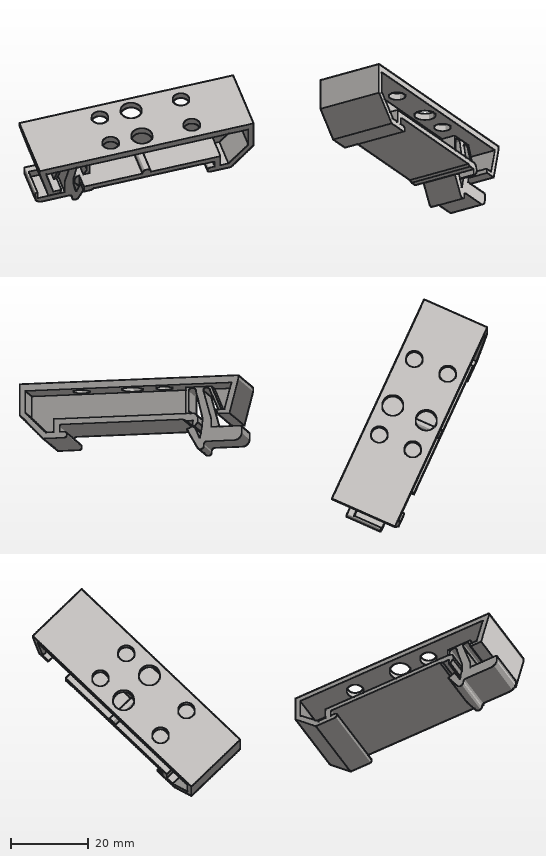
import cadquery as cq

width = 18.0
length = 58.0
half_length = length / 2
plate_thickness = 1.85
plate_bottom = -plate_thickness

end_wall = 1.45
end_corner_z = -8.3
inner_corner_z = -7.6
foot_heel_y = 22.85
pocket_heel_y = 22.15
foot_bottom = -14.6
foot_top = -13.0
foot_tip_radius = (foot_top - foot_bottom) / 2
foot_tip_y = 16.5
notch_y = 18.45
notch_corner_radius = 0.6
shelf_top = -9.55
shelf_bottom = -11.1
shelf_root_y = 20.0

shelf_thick_bottom = -11.5
hook_inner_y = -17.0
hook_outer_y = -18.25
hook_bottom = -13.05
hook_radius = 1.4

slant_top_z = -1.05
slant_bottom = -9.9
slant_floor = -8.8
slant_inner_top_y = -27.2
slant_inner_bottom_y = -25.35
slant_heel_y = -23.15

web_thickness = 2.0
latch_width = 9.6
latch_block_y = -14.2
brace_top_y = -21.0
brace_bottom_y = -23.9
slot_top = -2.2
slot_shoulder_z = -2.85
slot_end_radius = 0.7
post_face_y = -14.9
arm_back_bend = (-18.6, -10.3)
arm_front_bend_z = -10.55
gap_floor_z = -15.25
catch_tip = (-16.35, -12.0)
catch_corner = (-14.4, -12.95)
heel_y = -18.95
neck_radius = 0.8
latch_bottom = -18.3
lever_top = -12.5
lever_bottom = -16.3
lever_top_radius = 0.4
lever_bottom_radius = 2.0
lever_root_y = -20.95

relief_wall = 1.8
relief_tip_wall = 0.7
relief_depth = 2.1

rib_radius = 1.15

hole_x = 4.75
large_hole_diameter = 5.5
small_hole_diameter = 4.35
small_hole_rows = (13.5, -8.45)


def extrude_across(outline, thickness):
    """Extrude a closed YZ outline symmetrically about X = 0."""
    return outline.close().extrude(thickness / 2, both=True)


def box_between(low, high):
    """Axis-aligned box from its lowest to its highest corner."""
    size = [b - a for a, b in zip(low, high)]
    return cq.Workplane("XY").box(*size, centered=False).translate(low)


def make_frame():
    """Full-width strip forming plate, end walls, foot and shelf."""
    outline = (
        cq.Workplane("YZ")
        .moveTo(-half_length, 0)
        .lineTo(half_length, 0)
        .lineTo(half_length, end_corner_z)
        .lineTo(foot_heel_y, foot_bottom)
        .lineTo(foot_tip_y + foot_tip_radius, foot_bottom)
        .threePointArc(
            (foot_tip_y, foot_bottom + foot_tip_radius),
            (foot_tip_y + foot_tip_radius, foot_top),
        )
        .lineTo(notch_y, foot_top)
        .lineTo(notch_y, shelf_bottom - notch_corner_radius)
        .radiusArc((notch_y - notch_corner_radius, shelf_bottom), -notch_corner_radius)
        .lineTo(-14.3, shelf_bottom)
        .lineTo(-15.2, shelf_thick_bottom)
        .lineTo(hook_inner_y, shelf_thick_bottom)
        .lineTo(hook_inner_y, hook_bottom)
        .lineTo(-17.4, hook_bottom)
        .lineTo(hook_outer_y, -12.0)
        .lineTo(hook_outer_y, shelf_top - hook_radius)
        .radiusArc((hook_outer_y + hook_radius, shelf_top), hook_radius)
        .lineTo(shelf_root_y, shelf_top)
        .lineTo(shelf_root_y, foot_top)
        .lineTo(pocket_heel_y, foot_top)
        .lineTo(half_length - end_wall, inner_corner_z)
        .lineTo(half_length - end_wall, plate_bottom)
        .lineTo(slant_inner_top_y, plate_bottom)
        .lineTo(slant_inner_bottom_y, slant_floor)
        .lineTo(slant_heel_y, slant_floor)
        .lineTo(-23.45, slant_bottom)
        .lineTo(-26.7, slant_bottom)
        .lineTo(-half_length, slant_top_z)
    )
    return extrude_across(outline, width)


def make_web():
    """Thin central web filling the long cavity and the slanted end pocket."""
    cavity = cq.Workplane("YZ").polyline([
        (latch_block_y, plate_bottom),
        (half_length - end_wall, plate_bottom),
        (half_length - end_wall, inner_corner_z),
        (pocket_heel_y, foot_top),
        (shelf_root_y, foot_top),
        (shelf_root_y, shelf_top),
        (latch_block_y, shelf_top),
    ])
    end_pocket = cq.Workplane("YZ").polyline([
        (brace_top_y, plate_bottom),
        (slant_inner_top_y, plate_bottom),
        (slant_inner_bottom_y, slant_floor),
        (brace_bottom_y, slant_floor),
    ])
    web = extrude_across(cavity, web_thickness)
    return web.union(extrude_across(end_pocket, web_thickness))


def make_latch():
    """Post, sprung arm with catch and lever, and brace of the end wall."""
    outline = (
        cq.Workplane("YZ")
        .moveTo(latch_block_y, plate_bottom)
        .lineTo(latch_block_y, shelf_top)
        .lineTo(-15.9, shelf_top)
        .lineTo(post_face_y, -8.05)
        .lineTo(post_face_y, slot_shoulder_z)
        .radiusArc((-15.55, slot_top), -slot_end_radius)
        .lineTo(-16.25, slot_top)
        .radiusArc((-16.8, slot_shoulder_z), -slot_end_radius)
        .lineTo(*arm_back_bend)
        .lineTo(-18.55, -12.0)
        .lineTo(-17.9, gap_floor_z)
        .lineTo(-17.75, gap_floor_z)
        .lineTo(*catch_tip)
        .lineTo(*catch_corner)
        .lineTo(-17.15, -17.8)
        .threePointArc((-18.0, latch_bottom), (heel_y, -17.35))
        .lineTo(heel_y, lever_bottom - neck_radius)
        .radiusArc((heel_y - neck_radius, lever_bottom), -neck_radius)
        .lineTo(-half_length + lever_bottom_radius, lever_bottom)
        .radiusArc((-half_length, lever_bottom + lever_bottom_radius), lever_bottom_radius)
        .lineTo(-half_length, lever_top - lever_top_radius)
        .radiusArc((-half_length + lever_top_radius, lever_top), lever_top_radius)
        .lineTo(lever_root_y, lever_top)
        .lineTo(lever_root_y, arm_front_bend_z)
        .lineTo(-18.8, slot_shoulder_z)
        .radiusArc((-19.4, slot_top), -slot_end_radius)
        .lineTo(-19.85, slot_top)
        .radiusArc((-20.55, slot_shoulder_z), -slot_end_radius)
        .lineTo(slant_heel_y, slant_floor)
        .lineTo(brace_bottom_y, slant_floor)
        .lineTo(brace_top_y, plate_bottom)
    )
    return extrude_across(outline, latch_width)


def make_lever_relief():
    return box_between(
        (-latch_width / 2 + relief_wall, -half_length + relief_tip_wall, lever_top - relief_depth),
        (latch_width / 2, lever_root_y, lever_top),
    )


def make_shelf_trim():
    """Space beside the latch where the shelf ends flat, without its hook."""
    return box_between(
        (latch_width / 2, hook_outer_y, hook_bottom),
        (width / 2, hook_inner_y, shelf_top),
    )


def make_rib():
    rib = cq.Workplane("YZ").center(0, shelf_top).circle(rib_radius).extrude(width / 2)
    above_shelf = box_between(
        (0, -rib_radius, (shelf_top + shelf_bottom) / 2),
        (width / 2, rib_radius, shelf_top + rib_radius),
    )
    return rib.intersect(above_shelf)


def make_holes():
    """Mirrored pairs of cutters through the plate."""
    rows = [(0, large_hole_diameter)]
    rows += [(y, small_hole_diameter) for y in small_hole_rows]
    cutters = cq.Workplane("XY")
    for y, diameter in rows:
        pair = (
            cq.Workplane("XY")
            .pushPoints([(-hole_x, y), (hole_x, y)])
            .circle(diameter / 2)
            .extrude(plate_bottom)
        )
        cutters = cutters.add(pair)
    return cutters.combine()


frame = make_frame().cut(make_shelf_trim())
latch = make_latch().cut(make_lever_relief())
result = frame.union(make_web()).union(latch).union(make_rib()).cut(make_holes())